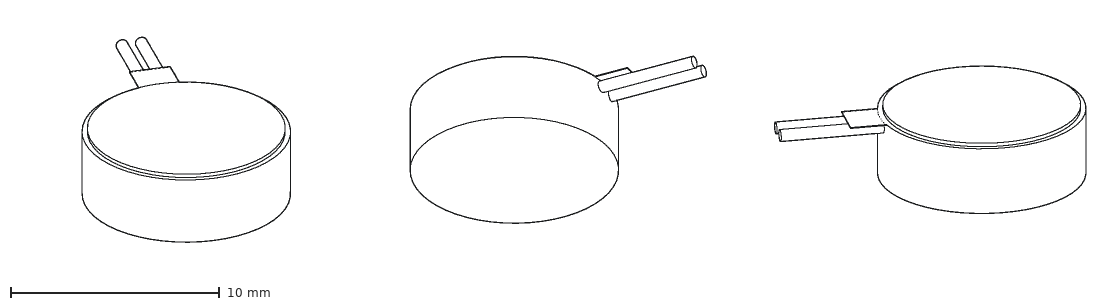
import cadquery as cq

total_length = 15.0
housing_diameter = 10.0
total_height = 3.55

lid_diameter = 9.5
lid_height = 0.18
rim_height = total_height - lid_height

tab_width = 2.02
tab_thickness = 0.05
wire_bare_length = 3.35

wire_diameter = 0.58
wire_spacing = 0.96

housing_radius = housing_diameter / 2
wire_end_x = housing_radius - total_length
tab_end_x = wire_end_x + wire_bare_length
wire_axis_z = rim_height - tab_thickness - wire_diameter / 2


def make_drum():
    """Plain cylinder that forms the main part of the housing."""
    return cq.Workplane("XY").circle(housing_radius).extrude(rim_height)


def make_housing():
    """Round housing with its raised lid and the tab for the wires."""
    lid = (
        cq.Workplane("XY")
        .workplane(offset=rim_height)
        .circle(lid_diameter / 2)
        .extrude(lid_height)
    )
    tab = (
        cq.Workplane("XY")
        .box(-tab_end_x, tab_width, tab_thickness, centered=(False, True, False))
        .translate((tab_end_x, 0, rim_height - tab_thickness))
    )
    return make_drum().union(lid).union(tab)


def make_wire(y):
    """Wire along X whose inner end is trimmed to fit the housing wall."""
    wire = (
        cq.Workplane("YZ")
        .workplane(offset=wire_end_x)
        .center(y, wire_axis_z)
        .circle(wire_diameter / 2)
        .extrude(-wire_end_x)
    )
    return wire.cut(make_drum())


housing = make_housing()
wires = []
for side in (-1, 1):
    wires.append(make_wire(side * wire_spacing / 2))

result = cq.Compound.makeCompound([housing.solids().val(), *[wire.solids().val() for wire in wires]])